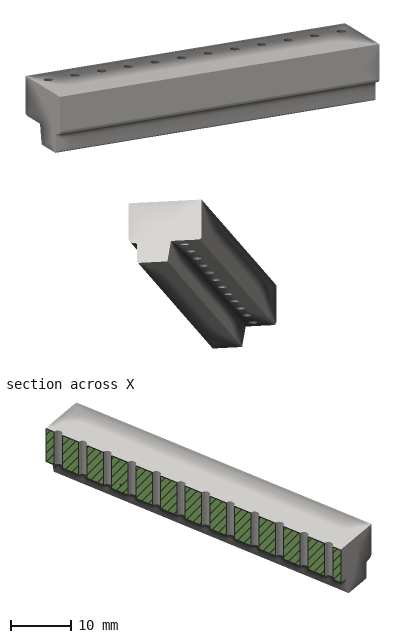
import cadquery as cq

length = 60.0
width = 12.4
height = 10.3

body_height = 6.85
body_left_radius = 0.55
body_right_radius = 0.8
tongue_root_left = 5.2
tongue_tip_left = 5.8
tongue_right = 11.0
tongue_root_radius = 0.4
tongue_tip_radius = 0.3

hole_count = 12
hole_diameter = 1.55
hole_x = 3.5
hole_pitch = length / hole_count

shoulder_z = height - body_height


def make_bar():
    """Extrude the cross-section along +Y and round its long edges."""
    profile = [
        (0, height),
        (width, height),
        (width, shoulder_z),
        (tongue_right, shoulder_z),
        (tongue_right, 0),
        (tongue_tip_left, 0),
        (tongue_root_left, shoulder_z),
        (0, shoulder_z),
    ]
    bar = cq.Workplane("XZ").polyline(profile).close().extrude(-length)

    rounded_edges = [
        (0, shoulder_z, body_left_radius),
        (width, shoulder_z, body_right_radius),
        (tongue_right, shoulder_z, tongue_root_radius),
        (tongue_right, 0, tongue_tip_radius),
    ]
    for x, z, radius in rounded_edges:
        edge_middle = cq.selectors.NearestToPointSelector((x, length / 2, z))
        bar = bar.edges("|Y").edges(edge_middle).fillet(radius)
    return bar


def make_holes():
    """Build the row of cylinders, each centred in its own pitch of the bar."""
    centres = [(hole_x, (i + 0.5) * hole_pitch) for i in range(hole_count)]
    return cq.Workplane("XY").pushPoints(centres).circle(hole_diameter / 2).extrude(height)


result = make_bar().cut(make_holes())